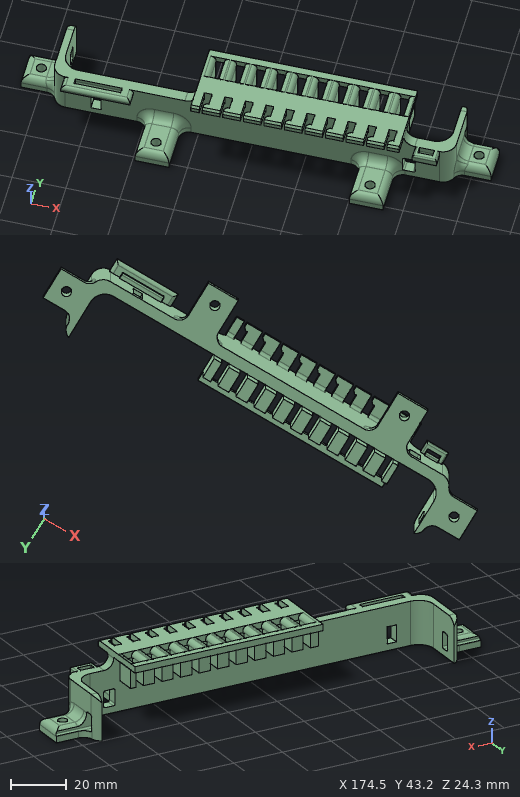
import cadquery as cq

TOTAL_LENGTH = 174.5
TOTAL_HEIGHT = 24.26
BACK_REACH = 25.79
FRONT_REACH = 17.63
HALF_LENGTH = TOTAL_LENGTH / 2

WALL_HEIGHT = 17.5
FRONT_WALL = 4.2
BODY_LEFT = -74.6
BODY_RIGHT = 74.5
LEFT_ARM = 2.8
RIGHT_ARM = 2.5
RIGHT_ARM_REACH = 24.4
CORNER_OUTER = 5.0
CORNER_INNER = 6.0
TIP_ROUND = 4.2

FOOT_WIDTH = 12.6
FOOT_HEIGHT = 5.28
FOOT_EMBED = 2.0
FOOT_ROUND = 2.75
FOOT_ROOT = 3.75
FOOT_HOLE = 3.6
FOOT_HOLE_INSET = 6.0
FRONT_FOOT_X = (-32.8, 46.65)
SIDE_FOOT_Y = 11.35

RAIL_LEFT = -21.05
RAIL_RIGHT = 56.25
RAIL_FRONT = -7.4
RAIL_BACK = 19.9
RAIL_THICKNESS = 2.54
RAIL_CHAMFER = 0.8
RAIL_BOTTOM = TOTAL_HEIGHT - RAIL_THICKNESS
RAIL_ROOT = 1.3
STEP_ROUND = 4.0
PITCH = 7.62
STATIONS = 10

WINDOW_FRONT = 7.5
WINDOW_BACK = 17.0
FIRST_SLAT_X = -20.1
SLAT_WIDTH = 4.6
SLAT_FLAT = 0.6
SLAT_ROUND = (SLAT_WIDTH - SLAT_FLAT) / 2
SLAT_FRONT = 8.4
SLAT_BACK = 16.4
SLAT_HEIGHT = 10.0
SLAT_BOTTOM = TOTAL_HEIGHT - SLAT_HEIGHT

FIRST_SLOT_LEFT = -17.85
SLOT_WIDTH = 2.9
SLOT_THROAT = 1.1
SLOT_WIDE_DEPTH = 4.6
LIP_CHAMFER = 1.0

LEDGE_THICKNESS = 3.2
LEDGE_BOTTOM = WALL_HEIGHT - LEDGE_THICKNESS
CATCH_BOTTOM = 12.8
CATCH_GAP = 0.3
LEFT_LEDGE_X = (-69.9, -44.15)
LEFT_LEDGE_DEPTH = 5.1
LEFT_LEDGE_ROUND = 1.5
LEFT_SLOT_X = (-65.7, -48.35)
LEFT_SLOT_DEPTH = 2.1
LEFT_CATCH_DEPTH = 2.1
RIGHT_LEDGE_X = (60.45, 69.4)
RIGHT_LEDGE_DEPTH = 4.5
RIGHT_LEDGE_ROUND = 0.6
RIGHT_SLOT_X = (62.0, 67.5)
RIGHT_SLOT_DEPTH = 2.4
RIGHT_CATCH_DEPTH = 1.4

CABLE_Z = (2.75, 9.4)
CABLE_ROUND = 0.7
ARM_CABLE_Y = (17.0, 20.6)
LEFT_CABLE_X = (-59.95, -56.2)
RIGHT_CABLE_X = (55.7, 60.4)


def box(x, y, z):
    """Block spanning the given (low, high) pairs along each axis."""
    block = cq.Workplane("XY").box(x[1] - x[0], y[1] - y[0], z[1] - z[0], centered=False)
    return block.translate((x[0], y[0], z[0]))


def make_walls():
    """Front wall with rounded corners and two arms whose tips are rounded."""
    outer = box((BODY_LEFT, BODY_RIGHT), (0, BACK_REACH), (0, WALL_HEIGHT))
    outer = outer.edges("|Z and <Y").fillet(CORNER_OUTER)
    inner_x = (BODY_LEFT + LEFT_ARM, BODY_RIGHT - RIGHT_ARM)
    inner = box(inner_x, (FRONT_WALL, 2 * BACK_REACH), (0, WALL_HEIGHT))
    inner = inner.edges("|Z and <Y").fillet(CORNER_INNER)
    walls = outer.cut(inner)
    walls = walls.cut(box((0, HALF_LENGTH), (RIGHT_ARM_REACH, 2 * BACK_REACH), (0, WALL_HEIGHT)))
    for side, reach in ((-1, BACK_REACH), (1, RIGHT_ARM_REACH)):
        outer_x = BODY_LEFT if side < 0 else BODY_RIGHT
        walls = walls.cut(tip_corner(outer_x, reach, side))
        walls = walls.cut(tip_top(reach, side))
    return walls


def tip_corner(outer_x, reach, side):
    """Waste outside the round on the outer upright edge of an arm tip."""
    r = TIP_ROUND
    x_span = sorted((outer_x, outer_x - side * r))
    waste = box(x_span, (reach - r, reach), (0, WALL_HEIGHT))
    keep = cq.Workplane("XY").center(outer_x - side * r, reach - r).circle(r).extrude(WALL_HEIGHT)
    return waste.cut(keep)


def tip_top(reach, side):
    """Waste outside the round on the top edge of an arm tip."""
    r = TIP_ROUND
    x_span = sorted((side * BODY_RIGHT / 2, side * HALF_LENGTH))
    waste = box(x_span, (reach - r, reach), (WALL_HEIGHT - r, WALL_HEIGHT))
    keep = cq.Workplane("YZ").center(reach - r, WALL_HEIGHT - r).circle(r).extrude(TOTAL_LENGTH, both=True)
    return waste.cut(keep)


def make_foot(length):
    """Foot along +Y, starting inside the wall at Y = 0, its free upper edges rounded."""
    foot = box((-FOOT_WIDTH / 2, FOOT_WIDTH / 2), (-FOOT_EMBED, length), (0, FOOT_HEIGHT))
    return foot.faces(">Z").edges("not <Y").fillet(FOOT_ROUND)


def foot_places():
    """(X, Y, turn about Z, length) of every foot's root, on the outer wall faces."""
    places = [(x, 0, 180, FRONT_REACH) for x in FRONT_FOOT_X]
    places.append((BODY_LEFT, SIDE_FOOT_Y, 90, HALF_LENGTH + BODY_LEFT))
    places.append((BODY_RIGHT, SIDE_FOOT_Y, -90, HALF_LENGTH - BODY_RIGHT))
    return places


def add_feet(body):
    for x, y, turn, length in foot_places():
        foot = make_foot(length)
        body = body.union(foot.rotate((0, 0, 0), (0, 0, 1), turn).translate((x, y, 0)))
    return body


def is_foot_root(edge):
    """True for an edge where a foot meets the outer face of a wall, above the underside."""
    tolerance = 1e-3
    bounds = edge.BoundingBox()
    if bounds.zmax < tolerance or bounds.zmax > FOOT_HEIGHT + tolerance:
        return False
    flat_in_y = bounds.ymax - bounds.ymin < tolerance
    flat_in_x = bounds.xmax - bounds.xmin < tolerance
    on_front = flat_in_y and abs(bounds.ymin) < tolerance
    on_side = flat_in_x and min(abs(bounds.xmin - BODY_LEFT), abs(bounds.xmin - BODY_RIGHT)) < tolerance
    return on_front or (on_side and bounds.ymin > CORNER_OUTER)


def round_foot_roots(body):
    roots = [edge for edge in body.edges().vals() if is_foot_root(edge)]
    return body.newObject(roots).fillet(FOOT_ROOT)


def drill_feet(body):
    for x, y, turn, length in foot_places():
        drill = cq.Workplane("XY").center(0, length - FOOT_HOLE_INSET).circle(FOOT_HOLE / 2)
        drill = drill.extrude(FOOT_HEIGHT)
        body = body.cut(drill.rotate((0, 0, 0), (0, 0, 1), turn).translate((x, y, 0)))
    return body


def make_riser():
    """Raised middle of the front wall, flaring out to the wall top at both ends."""
    profile = (
        cq.Workplane("XZ")
        .moveTo(RAIL_LEFT - STEP_ROUND, WALL_HEIGHT)
        .radiusArc((RAIL_LEFT, WALL_HEIGHT + STEP_ROUND), -STEP_ROUND)
        .lineTo(RAIL_LEFT, RAIL_BOTTOM)
        .lineTo(RAIL_RIGHT, RAIL_BOTTOM)
        .lineTo(RAIL_RIGHT, WALL_HEIGHT + STEP_ROUND)
        .radiusArc((RAIL_RIGHT + STEP_ROUND, WALL_HEIGHT), -STEP_ROUND)
        .lineTo(RAIL_RIGHT + STEP_ROUND, WALL_HEIGHT / 2)
        .lineTo(RAIL_LEFT - STEP_ROUND, WALL_HEIGHT / 2)
        .close()
    )
    return profile.extrude(-FRONT_WALL)


def add_rail(body):
    """Rail plate with a chamfered front edge, rounded into the wall below it."""
    rail = box((RAIL_LEFT, RAIL_RIGHT), (RAIL_FRONT, RAIL_BACK), (RAIL_BOTTOM, TOTAL_HEIGHT))
    rail = rail.edges(">Z and <Y").chamfer(RAIL_CHAMFER)
    body = body.union(make_riser()).union(rail)
    middle = ((RAIL_LEFT + RAIL_RIGHT) / 2, 0, RAIL_BOTTOM)
    return body.edges(cq.selectors.NearestToPointSelector(middle)).fillet(RAIL_ROOT)


def make_slat():
    """Slat with a round-shouldered top, centred on X = 0."""
    upper = box((-SLAT_WIDTH / 2, SLAT_WIDTH / 2), (WINDOW_FRONT, WINDOW_BACK), (RAIL_BOTTOM, TOTAL_HEIGHT))
    lower = box((-SLAT_WIDTH / 2, SLAT_WIDTH / 2), (SLAT_FRONT, SLAT_BACK), (SLAT_BOTTOM, RAIL_BOTTOM))
    return upper.edges("|Y and >Z").fillet(SLAT_ROUND).union(lower)


def add_slats(body):
    """One long window in the rail, divided by slats; the end slats are half slats.

    The leftmost slat is thickened below the rail to end flush with it.
    """
    last_slat_x = FIRST_SLAT_X + STATIONS * PITCH
    span = box((FIRST_SLAT_X, last_slat_x), (WINDOW_FRONT, WINDOW_BACK), (0, TOTAL_HEIGHT))
    slat = make_slat()
    slats = slat.translate((FIRST_SLAT_X, 0, 0))
    for station in range(1, STATIONS + 1):
        slats = slats.union(slat.translate((FIRST_SLAT_X + station * PITCH, 0, 0)))
    flush_end = box((RAIL_LEFT, FIRST_SLAT_X), (SLAT_FRONT, SLAT_BACK), (SLAT_BOTTOM, RAIL_BOTTOM))
    return body.cut(span).union(slats.intersect(span)).union(flush_end)


def make_wire_slot():
    """Slot open to the rail's front edge through a narrow throat, its left side at X = 0."""
    outline = (
        cq.Workplane("XY", origin=(0, 0, RAIL_BOTTOM - RAIL_ROOT))
        .lineTo(SLOT_WIDTH, 0)
        .lineTo(SLOT_WIDTH, -SLOT_WIDE_DEPTH)
        .lineTo(SLOT_THROAT + LIP_CHAMFER, -SLOT_WIDE_DEPTH)
        .lineTo(SLOT_THROAT, -SLOT_WIDE_DEPTH - LIP_CHAMFER)
        .lineTo(SLOT_THROAT, RAIL_FRONT)
        .lineTo(0, RAIL_FRONT)
        .close()
    )
    return outline.extrude(RAIL_THICKNESS + RAIL_ROOT)


def cut_wire_slots(body):
    slot = make_wire_slot()
    for station in range(STATIONS):
        body = body.cut(slot.translate((FIRST_SLOT_LEFT + station * PITCH, 0, 0)))
    return body


def make_catch(x, depth):
    """Catch on the wall under a ledge slot: a hollow top curving out to a lip, round below."""
    lip_z = LEDGE_BOTTOM - CATCH_GAP
    lower_round = (lip_z - CATCH_BOTTOM) / 2
    profile = (
        cq.Workplane("YZ", origin=(x[0], 0, 0))
        .moveTo(0, CATCH_BOTTOM)
        .lineTo(-depth + lower_round, CATCH_BOTTOM)
        .radiusArc((-depth, CATCH_BOTTOM + lower_round), lower_round)
        .lineTo(-depth, lip_z)
        .radiusArc((0, lip_z + depth), -depth)
        .close()
    )
    return profile.extrude(x[1] - x[0])


def add_ledge(body, ledge_x, ledge_depth, edge_round, slot_x, slot_depth, catch_depth):
    """Rounded ledge level with the wall top, slotted above a catch on the wall."""
    ledge = box(ledge_x, (-ledge_depth, 0), (LEDGE_BOTTOM, WALL_HEIGHT))
    ledge = ledge.faces("<Z or >Z").edges("not >Y").fillet(edge_round)
    ledge = ledge.union(box(ledge_x, (0, FRONT_WALL), (LEDGE_BOTTOM, WALL_HEIGHT)))
    slot = box(slot_x, (-slot_depth, 0), (LEDGE_BOTTOM, WALL_HEIGHT))
    return body.union(ledge).cut(slot).union(make_catch(slot_x, catch_depth))


def cut_cable_windows(body):
    """Plain and rounded windows in the front wall and one window across both arms."""
    body = body.cut(box(LEFT_CABLE_X, (0, FRONT_WALL), CABLE_Z))
    right = box(RIGHT_CABLE_X, (-FOOT_ROOT, FRONT_WALL), CABLE_Z)
    body = body.cut(right.edges("|Y").fillet(CABLE_ROUND))
    across = box((-HALF_LENGTH, HALF_LENGTH), ARM_CABLE_Y, CABLE_Z)
    return body.cut(across.edges("|X").fillet(CABLE_ROUND))


result = add_feet(make_walls())
result = round_foot_roots(result)
result = drill_feet(result)
result = add_rail(result)
result = add_slats(result)
result = cut_wire_slots(result)
result = add_ledge(
    result,
    LEFT_LEDGE_X, LEFT_LEDGE_DEPTH, LEFT_LEDGE_ROUND, LEFT_SLOT_X, LEFT_SLOT_DEPTH, LEFT_CATCH_DEPTH,
)
result = add_ledge(
    result,
    RIGHT_LEDGE_X, RIGHT_LEDGE_DEPTH, RIGHT_LEDGE_ROUND, RIGHT_SLOT_X, RIGHT_SLOT_DEPTH, RIGHT_CATCH_DEPTH,
)
result = cut_cable_windows(result)